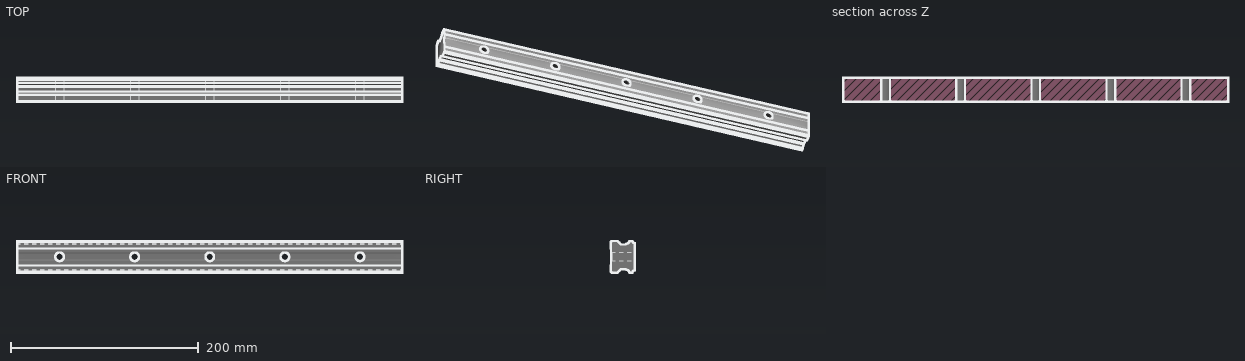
import cadquery as cq
import math

length = 410.0
width = 26.0
height = 34.0
half_width = width / 2
half_height = height / 2

groove_depth = 3.5
groove_floor = half_height - groove_depth
floor_front = -2.0
floor_back = 3.08
ledge_y = 4.0
wall_radius = 3.0

front_chamfer = 1.2
back_hollow = 2.5

recess_half_height = 9.0
recess_depth = 0.2
channel_half_height = 4.0
channel_floor_half_height = 3.3
channel_depth = 0.5

hole_diameter = 9.0
hole_count = 5
hole_pitch = 80.0


def hollow_middle(top_y, foot_z, radius, foot_direction):
    """Middle of a concave quarter arc, upright at its top end and level at its foot."""
    offset = radius * (1 - math.sqrt(0.5))
    return (top_y + foot_direction * offset, foot_z + offset)


def half_section():
    """Upper half of the rail section; sketch axes are Y and Z."""
    recess_y = -half_width + recess_depth
    channel_y = -half_width + channel_depth
    land_back = half_width - back_hollow
    land_front = ledge_y + wall_radius
    shoulder_z = half_height - back_hollow
    ledge_z = half_height - wall_radius
    return (
        cq.Workplane("YZ", origin=(-length / 2, 0, 0))
        .moveTo(half_width, 0)
        .lineTo(half_width, shoulder_z)
        .threePointArc(hollow_middle(land_back, shoulder_z, back_hollow, 1), (land_back, half_height))
        .lineTo(land_front, half_height)
        .threePointArc(hollow_middle(land_front, ledge_z, wall_radius, -1), (ledge_y, ledge_z))
        .lineTo(floor_back, groove_floor)
        .lineTo(floor_front, groove_floor)
        .lineTo(floor_front - groove_depth, half_height)
        .lineTo(-half_width + front_chamfer, half_height)
        .lineTo(-half_width, half_height - front_chamfer)
        .lineTo(-half_width, recess_half_height)
        .lineTo(recess_y, recess_half_height)
        .lineTo(recess_y, channel_half_height)
        .lineTo(channel_y, channel_floor_half_height)
        .lineTo(channel_y, 0)
        .close()
    )


upper_half = half_section().extrude(length)
rail = upper_half.union(upper_half.mirror("XY"))

hole_cutter = (
    cq.Workplane("XZ", origin=(0, half_width, 0))
    .rarray(hole_pitch, 4, hole_count, 1)
    .circle(hole_diameter / 2)
    .extrude(width)
)

result = rail.cut(hole_cutter).clean()